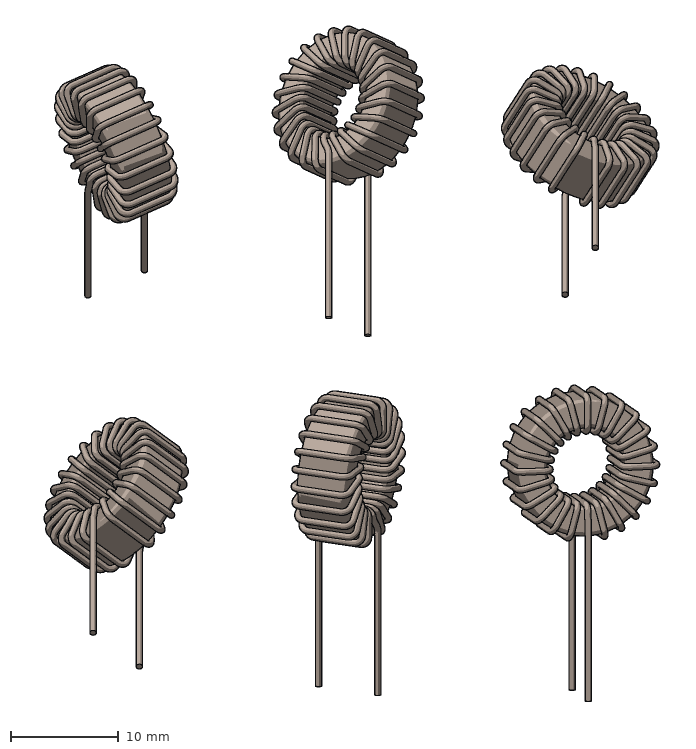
import cadquery as cq
import math

core_outer_diameter = 12.9
core_inner_diameter = 7.5
core_width = 5.0
core_edge_radius = 0.5

wire_diameter = 0.6
inner_run_count = 24
overall_height = 28.9
overall_depth = 6.6
lead_straight_top = -5.85

wire_radius = wire_diameter / 2
turn_angle = 360 / inner_run_count
first_turn_angle = -90

inner_run_radius = core_inner_diameter / 2 - wire_radius
outer_run_radius = core_outer_diameter / 2 + wire_radius
back_y = core_width / 2 + wire_radius
front_y = -back_y
bend_radius = core_edge_radius + wire_radius

lead_y = overall_depth / 2 - wire_radius
lead_bottom = outer_run_radius + wire_radius - overall_height

DOWN = cq.Vector(0, 0, -1)
UP = cq.Vector(0, 0, 1)


def make_core():
    radial_width = (core_outer_diameter - core_inner_diameter) / 2
    centre_radius = (core_outer_diameter + core_inner_diameter) / 4
    section = (
        cq.Sketch()
        .push([(centre_radius, 0)])
        .rect(radial_width, core_width)
        .reset()
        .vertices()
        .fillet(core_edge_radius)
    )
    return cq.Workplane("XY").placeSketch(section).revolve(360, (0, 0, 0), (0, 1, 0))


def ring_point(radius, y, turn):
    """Point beside the core at one turn; turns run clockwise as seen from -Y."""
    angle = math.radians(first_turn_angle - turn * turn_angle)
    return cq.Vector(radius * math.cos(angle), y, radius * math.sin(angle))


def coil_corners():
    """Sharp corners of the winding: radial across the front, slanted to the next turn at the back."""
    corners = []
    for turn in range(inner_run_count):
        if turn > 0:
            corners.append(ring_point(outer_run_radius, back_y, turn))
            corners.append(ring_point(outer_run_radius, front_y, turn))
        corners.append(ring_point(inner_run_radius, front_y, turn))
        corners.append(ring_point(inner_run_radius, back_y, turn))
    return corners


def right_angle_bend(before, corner, after):
    """Arc that rounds a right-angled corner of the centre line."""
    to_before = (before - corner).normalized()
    to_after = (after - corner).normalized()
    start = corner + to_before * bend_radius
    end = corner + to_after * bend_radius
    middle = corner + (to_before + to_after) * (bend_radius * (1 - math.sqrt(0.5)))
    return cq.Edge.makeThreePointArc(start, middle, end)


def wire_path():
    corners = coil_corners()
    front_exit = ring_point(outer_run_radius, front_y, 0)
    back_exit = ring_point(outer_run_radius, back_y, inner_run_count)
    stops = [front_exit, *corners, back_exit]
    bends = [right_angle_bend(*stops[i - 1:i + 2]) for i in range(1, len(stops) - 1)]

    front_lead_top = cq.Vector(0, -lead_y, lead_straight_top)
    edges = [
        cq.Edge.makeLine(cq.Vector(0, -lead_y, lead_bottom), front_lead_top),
        cq.Edge.makeSpline([front_lead_top, bends[0].startPoint()], tangents=[UP, UP]),
        bends[0],
    ]

    for previous, bend in zip(bends, bends[1:]):
        edges.append(cq.Edge.makeLine(previous.endPoint(), bend.startPoint()))
        edges.append(bend)

    back_lead_top = cq.Vector(0, lead_y, lead_straight_top)
    last_direction = (back_exit - corners[-1]).normalized()
    edges.append(cq.Edge.makeSpline([bends[-1].endPoint(), back_lead_top], tangents=[last_direction, DOWN]))
    edges.append(cq.Edge.makeLine(back_lead_top, cq.Vector(0, lead_y, lead_bottom)))
    return cq.Wire.assembleEdges(edges)


def make_winding():
    lead_end = cq.Workplane("XY", origin=(0, -lead_y, lead_bottom)).circle(wire_radius)
    return lead_end.sweep(cq.Workplane(wire_path()))


core = make_core()
winding = make_winding()

result = cq.Compound.makeCompound([core.val(), winding.val()])